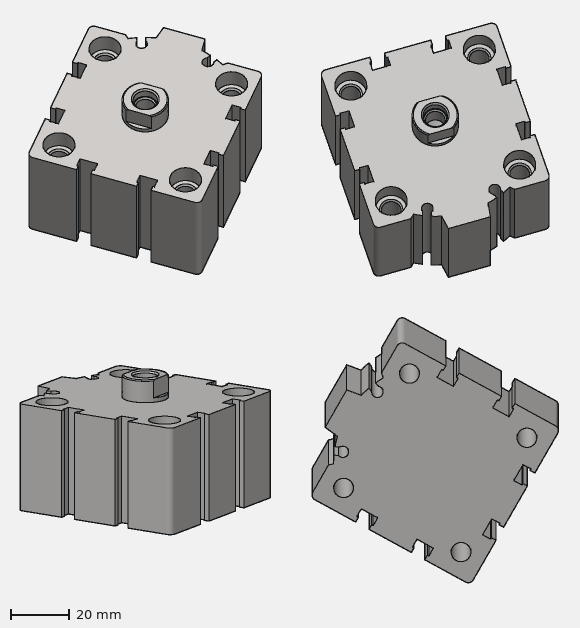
import cadquery as cq
import math

side = 63.5
half = side / 2
housing_height = 38.0
corner_radius = 2.0

rib_top_y = 39.25
rib_top_half_width = 7.6
rib_root_half_width = 8.4
shoulder_radius = 35.0
notch_half_width = 18.75

groove_angle = 22.3
groove_centre_radius = 32.1
groove_diameter = 4.0
groove_neck_width = 3.0

slot_offset = 11.0
slot_mouth_width = 5.25
slot_inner_width = 6.45
slot_lip = 1.85
slot_depth = 5.05

mount_offset = 23.2
mount_diameter = 6.8
mount_chamfer_diameter = 8.0
counterbore_diameter = 11.0
counterbore_depth = 6.8

rod_diameter = 16.0
rod_protrusion = 8.0
rod_seat_depth = 7.95
rod_chamfer = 0.4
flat_width = 13.0
flat_base_height = 1.55

socket_mouth_diameter = 9.6
socket_upper_diameter = 8.4
socket_taper_diameter = 7.8
socket_lower_diameter = 6.7
socket_upper_end = 3.4
socket_full_depth = 10.65
drill_point_angle = 118

rod_radius = rod_diameter / 2
rod_bottom = housing_height - rod_seat_depth
rod_top = housing_height + rod_protrusion


def shoulder_y(x):
    """Height of the round shoulder at a given distance from the centre plane."""
    return math.sqrt(shoulder_radius ** 2 - x ** 2)


def shoulder_end():
    """Point where the 45 degree notch line meets the shoulder circle."""
    line_sum = half - notch_half_width
    x = (line_sum - math.sqrt(2 * shoulder_radius ** 2 - line_sum ** 2)) / 2
    return x, line_sum - x


def housing_outline():
    end_x, end_y = shoulder_end()
    mid_x = (end_x - rib_root_half_width) / 2
    root = (rib_root_half_width, shoulder_y(rib_root_half_width))
    mid = (-mid_x, shoulder_y(mid_x))
    return (
        cq.Workplane("XY")
        .moveTo(-half, -half)
        .lineTo(half, -half)
        .lineTo(half, half)
        .lineTo(notch_half_width, half)
        .lineTo(-end_x, end_y)
        .threePointArc(mid, root)
        .lineTo(rib_top_half_width, rib_top_y)
        .lineTo(-rib_top_half_width, rib_top_y)
        .lineTo(-root[0], root[1])
        .threePointArc((mid_x, mid[1]), (end_x, end_y))
        .lineTo(-notch_half_width, half)
        .lineTo(-half, half)
        .close()
    )


def round_corners(body):
    margin = corner_radius
    for x in (-half, half):
        for y in (-half, half):
            near_corner = cq.selectors.BoxSelector(
                (x - margin, y - margin, 0),
                (x + margin, y + margin, housing_height),
            )
            body = body.edges("|Z").edges(near_corner).fillet(corner_radius)
    return body


def t_slot(offset, face_angle):
    """T-slot cutter for the front face, turned about Z to the wanted face."""
    mouth = (
        cq.Workplane("XY")
        .center(offset, -half + slot_lip / 2)
        .rect(slot_mouth_width, slot_lip)
        .extrude(housing_height)
    )
    inner_length = slot_depth - slot_lip
    inner = (
        cq.Workplane("XY")
        .center(offset, -half + slot_lip + inner_length / 2)
        .rect(slot_inner_width, inner_length)
        .extrude(housing_height)
    )
    return mouth.union(inner).rotate((0, 0, 0), (0, 0, 1), face_angle)


def sensor_groove(angle):
    """Keyhole groove cutter on +Y, turned about Z to the wanted angle."""
    bore = (
        cq.Workplane("XY")
        .center(0, groove_centre_radius)
        .circle(groove_diameter / 2)
        .extrude(housing_height)
    )
    neck_length = rib_top_y - groove_centre_radius
    neck = (
        cq.Workplane("XY")
        .center(0, groove_centre_radius + neck_length / 2)
        .rect(groove_neck_width, neck_length)
        .extrude(housing_height)
    )
    return bore.union(neck).rotate((0, 0, 0), (0, 0, 1), angle)


def mounting_hole(x, y):
    """Through hole with a 45 degree chamfer at the floor of its counterbore."""
    floor_z = housing_height - counterbore_depth
    hole_radius = mount_diameter / 2
    chamfer_radius = mount_chamfer_diameter / 2
    profile = [
        (0, 0),
        (hole_radius, 0),
        (hole_radius, floor_z - (chamfer_radius - hole_radius)),
        (chamfer_radius, floor_z),
        (counterbore_diameter / 2, floor_z),
        (counterbore_diameter / 2, housing_height),
        (0, housing_height),
    ]
    return cq.Workplane("XZ").polyline(profile).close().revolve(360, (0, 0), (0, 1)).translate((x, y, 0))


def make_housing():
    body = round_corners(housing_outline().extrude(housing_height))
    for offset in (-slot_offset, slot_offset):
        for face_angle in (-90, 0, 90):
            body = body.cut(t_slot(offset, face_angle))
    for angle in (-groove_angle, groove_angle):
        body = body.cut(sensor_groove(angle))
    for x in (-mount_offset, mount_offset):
        for y in (-mount_offset, mount_offset):
            body = body.cut(mounting_hole(x, y))
    rod_seat = cq.Workplane("XY").workplane(offset=rod_bottom).circle(rod_radius).extrude(rod_seat_depth)
    return body.cut(rod_seat)


def rod_socket():
    mouth_radius = socket_mouth_diameter / 2
    upper_radius = socket_upper_diameter / 2
    taper_radius = socket_taper_diameter / 2
    lower_radius = socket_lower_diameter / 2
    point_length = lower_radius / math.tan(math.radians(drill_point_angle / 2))
    profile = [
        (0, rod_top),
        (mouth_radius, rod_top),
        (upper_radius, rod_top - (mouth_radius - upper_radius)),
        (upper_radius, rod_top - socket_upper_end),
        (taper_radius, rod_top - socket_upper_end),
        (lower_radius, rod_top - socket_upper_end - (taper_radius - lower_radius)),
        (lower_radius, rod_top - socket_full_depth),
        (0, rod_top - socket_full_depth - point_length),
    ]
    return cq.Workplane("XZ").polyline(profile).close().revolve(360, (0, 0), (0, 1))


def make_rod():
    body = (
        cq.Workplane("XY")
        .workplane(offset=rod_bottom)
        .circle(rod_radius)
        .extrude(rod_top - rod_bottom)
        .faces(">Z")
        .chamfer(rod_chamfer)
    )
    flat_height = rod_protrusion - flat_base_height
    for direction in (-1, 1):
        flat_cut = (
            cq.Workplane("XY")
            .workplane(offset=rod_top - flat_height)
            .center(0, direction * (flat_width + rod_diameter) / 2)
            .rect(rod_diameter, rod_diameter)
            .extrude(flat_height)
        )
        body = body.cut(flat_cut)
    return body.cut(rod_socket())


housing = make_housing()
rod = make_rod()

result = cq.Compound.makeCompound([housing.val(), rod.val()])